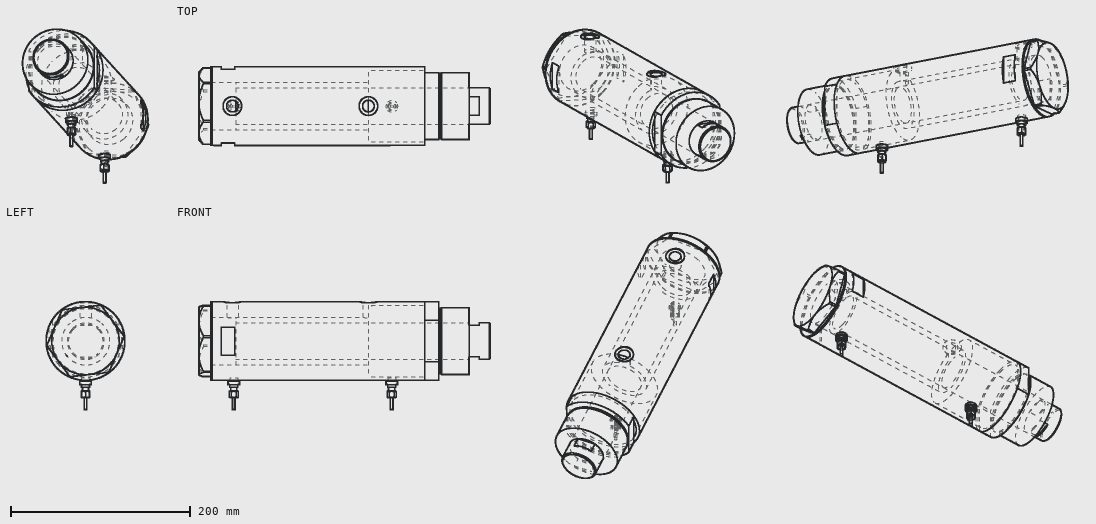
import cadquery as cq
import math


total_length = 324.5
body_diameter = 88.0

cap_flats_radius = 37.5
cap_tilt = 6.7
cap_chamfer_length = 5.0
cap_corner_radius = 42.8
cap_hex_length = 13.3
cap_flange_length = 1.5
cap_spigot_end = 41.0

housing_end = 251.8
bore_radius = 26.5
gland_bore_radius = 40.0
gland_bore_start = 189.0
pocket_start = 25.0
pocket_length = 15.0
pocket_half_height = 15.5

port_positions = [37.3, 189.0]
port_radius = 6.5
spotface_radius = 10.5
spotface_depth = 1.3

gland_flange_length = 15.5
wrench_flat_half_width = 23.5
gland_radius = 37.3
gland_end = 301.0
gland_neck_radius = 36.5
gland_neck_length = 1.5
gland_chamfer_length = 1.3

rod_radius = 20.5
rod_flats_width = 35.5
rod_flat_length = 11.0
rod_chamfer = 1.3

sensor_positions = [39.0, 214.8]
sensor_length = 32.5
stem_radius = 4.5
stem_depth = 3.2
collar_gap = 0.5
collar_radius = 6.5
collar_length = 4.0
step_radius = 4.5
step_length = 3.2
neck_radius = 3.5
neck_length = 3.5
nut_corner_radius = 5.2
nut_length = 8.0
nut_chamfer = 1.3
cable_radius = 1.5

body_radius = body_diameter / 2
cap_hexagon_diameter = 2 * cap_flats_radius / math.cos(math.pi / 6)
housing_start = cap_hex_length + cap_flange_length
gland_flange_end = housing_end + gland_flange_length
wrench_flat_depth = math.sqrt(body_radius**2 - wrench_flat_half_width**2)
pocket_depth = math.sqrt(body_radius**2 - pocket_half_height**2)
rod_flat_height = rod_flats_width / 2
spotface_height = body_radius - spotface_depth
stem_top = stem_depth - body_radius


def rod_along_x(start, end, radius):
    """Solid cylinder on the main axis between two X positions."""
    return cq.Workplane("YZ", origin=(start, 0, 0)).circle(radius).extrude(end - start)


def rod_along_z(x, bottom, top, radius):
    """Solid vertical cylinder on the centre plane."""
    return cq.Workplane("XY", origin=(x, 0, bottom)).circle(radius).extrude(top - bottom)


def side_cut(start, length, depth, side):
    """Box that removes everything farther than depth from the axis, on the +Y or -Y side."""
    thickness = body_radius
    centre = (start + length / 2, side * (depth + thickness / 2), 0)
    return cq.Workplane("XY", origin=centre).box(length, thickness, 2 * body_radius)


def make_cap():
    """Hexagonal cap with a chamfered outer face, a round flange and a spigot in the bore."""
    hexagon = (
        cq.Workplane("YZ")
        .polygon(6, cap_hexagon_diameter)
        .extrude(cap_hex_length)
        .rotate((0, 0, 0), (1, 0, 0), -cap_tilt)
    )
    chamfer_envelope = (
        cq.Workplane("XY")
        .polyline([
            (0, 0),
            (0, cap_flats_radius),
            (cap_chamfer_length, cap_corner_radius),
            (cap_hex_length, cap_corner_radius),
            (cap_hex_length, 0),
        ])
        .close()
        .revolve(360, (0, 0, 0), (1, 0, 0))
    )
    flange = rod_along_x(cap_hex_length, housing_start, body_radius)
    spigot = rod_along_x(housing_start, cap_spigot_end, bore_radius)
    return hexagon.intersect(chamfer_envelope).union(flange).union(spigot)


def make_housing():
    """Round tube with side pockets, two ports and holes for the sensor stems."""
    housing = rod_along_x(housing_start, housing_end, body_radius)
    housing = housing.cut(rod_along_x(housing_start, gland_bore_start, bore_radius))
    housing = housing.cut(rod_along_x(gland_bore_start, housing_end, gland_bore_radius))
    for side in (-1, 1):
        housing = housing.cut(side_cut(pocket_start, pocket_length, pocket_depth, side))
    for x in port_positions:
        housing = housing.cut(rod_along_z(x, 0, body_radius, port_radius))
        housing = housing.cut(rod_along_z(x, spotface_height, body_radius, spotface_radius))
    for x in sensor_positions:
        housing = housing.cut(rod_along_z(x, -body_radius, stem_top, stem_radius))
    return housing


def make_gland():
    """Rod guide: a sleeve in the housing, a flange with two wrench flats, a neck and a round head."""
    neck_end = gland_flange_end + gland_neck_length
    profile = [
        (gland_bore_start, rod_radius),
        (gland_bore_start, gland_bore_radius),
        (housing_end, gland_bore_radius),
        (housing_end, body_radius),
        (gland_flange_end, body_radius),
        (gland_flange_end, gland_neck_radius),
        (neck_end, gland_neck_radius),
        (neck_end + gland_chamfer_length, gland_radius),
        (gland_end, gland_radius),
        (gland_end, rod_radius),
    ]
    gland = cq.Workplane("XY").polyline(profile).close().revolve(360, (0, 0, 0), (1, 0, 0))
    for side in (-1, 1):
        gland = gland.cut(side_cut(housing_end, gland_flange_length, wrench_flat_depth, side))
    return gland


def make_rod():
    """Piston rod with a chamfered tip and a wrench flat above and below."""
    rod = rod_along_x(cap_spigot_end, total_length, rod_radius).faces(">X").chamfer(rod_chamfer)
    for side in (-1, 1):
        centre = (gland_end + rod_flat_length / 2, 0, side * (rod_flat_height + rod_radius / 2))
        flat = cq.Workplane("XY", origin=centre).box(rod_flat_length, 2 * rod_radius, rod_radius)
        rod = rod.cut(flat)
    return rod


def make_sensor(x):
    """Stepped sensor with a hexagonal nut and a cable stub, hanging below the housing."""
    collar_top = -body_radius - collar_gap
    collar_bottom = collar_top - collar_length
    step_bottom = collar_bottom - step_length
    neck_bottom = step_bottom - neck_length
    nut_bottom = neck_bottom - nut_length
    cable_bottom = -body_radius - sensor_length
    sensor = rod_along_z(x, collar_top, stem_top, stem_radius)
    sensor = sensor.union(rod_along_z(x, collar_bottom, collar_top, collar_radius))
    sensor = sensor.union(rod_along_z(x, step_bottom, collar_bottom, step_radius))
    sensor = sensor.union(rod_along_z(x, neck_bottom, step_bottom, neck_radius))
    nut = cq.Workplane("XY", origin=(x, 0, nut_bottom)).polygon(6, 2 * nut_corner_radius).extrude(nut_length)
    nut_envelope = rod_along_z(x, nut_bottom, neck_bottom, nut_corner_radius).edges().chamfer(nut_chamfer)
    sensor = sensor.union(nut.intersect(nut_envelope))
    return sensor.union(rod_along_z(x, cable_bottom, nut_bottom, cable_radius))


cap = make_cap()
housing = make_housing()
gland = make_gland()
rod = make_rod()
sensors = [make_sensor(x) for x in sensor_positions]

result = cq.Compound.makeCompound([
    cap.val(),
    housing.val(),
    gland.val(),
    rod.val(),
    *[sensor.val() for sensor in sensors],
])